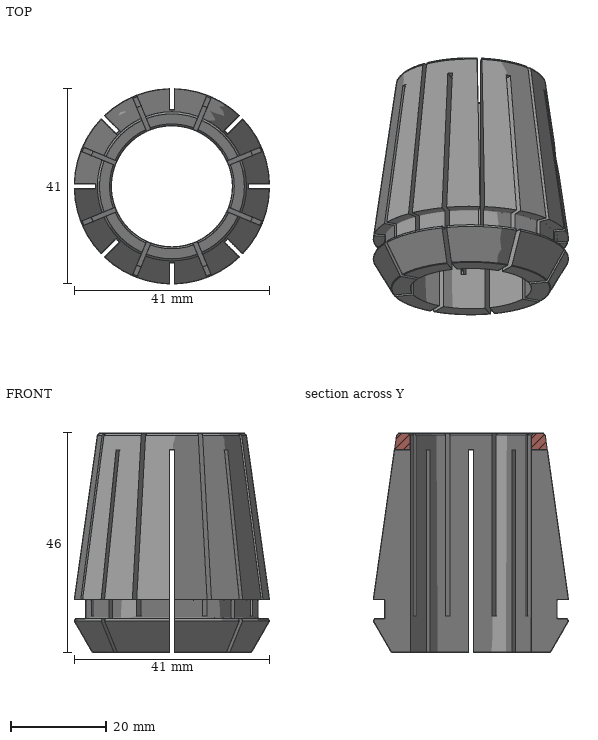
import cadquery as cq
import math

height = 46.0
max_radius = 20.5
bore_radius = 25.4 / 2

cone_half_angle = math.radians(8)
cone_base_z = 11.1
rim_chamfer = 0.45
bore_chamfer = 0.4

groove_radius = 18.12
groove_floor_z = 7.1
groove_fillet = 0.2
nose_half_angle = math.radians(30)
nose_edge_z = 6.6
nose_chamfer_width = 0.3
nose_end_chamfer = 0.12

slit_width = 1.0
slits_per_set = 8
lower_slit_top_z = 42.5
upper_slit_bottom_z = 7.6
slit_pitch = 360 / slits_per_set
blade_length = 3 * max_radius


def cone_radius(z):
    """Outer radius of the clamping cone at height z."""
    return max_radius - (z - cone_base_z) * math.tan(cone_half_angle)


def nose_radius(z):
    """Outer radius of the nose taper at height z."""
    return max_radius - (nose_edge_z - z) * math.tan(nose_half_angle)


def collet_body():
    """Unslit collet, revolved about Z from its half section."""
    rim_base_z = height - rim_chamfer
    rim_base_radius = cone_radius(rim_base_z)
    half_section = (
        cq.Workplane("XZ")
        .moveTo(bore_radius, 0)
        .lineTo(nose_radius(0) - nose_end_chamfer, 0)
        .lineTo(nose_radius(nose_end_chamfer), nose_end_chamfer)
        .lineTo(max_radius, nose_edge_z)
        .lineTo(max_radius - nose_chamfer_width, groove_floor_z)
        .lineTo(groove_radius + groove_fillet, groove_floor_z)
        .tangentArcPoint((groove_radius, groove_floor_z + groove_fillet), relative=False)
        .lineTo(groove_radius, cone_base_z - groove_fillet)
        .tangentArcPoint((groove_radius + groove_fillet, cone_base_z), relative=False)
        .lineTo(max_radius, cone_base_z)
        .lineTo(rim_base_radius, rim_base_z)
        .lineTo(rim_base_radius - rim_chamfer, height)
        .lineTo(bore_radius + bore_chamfer, height)
        .lineTo(bore_radius, height - bore_chamfer)
        .close()
    )
    return half_section.revolve(360, (0, 0), (0, 1))


def slit_set(bottom_z, top_z, start_angle):
    """Blades centred on the axis, evenly spaced about Z."""
    blade = (
        cq.Workplane("XY")
        .workplane(offset=bottom_z)
        .rect(blade_length, slit_width)
        .extrude(top_z - bottom_z)
    )
    blades = cq.Workplane("XY")
    for index in range(slits_per_set // 2):
        angle = start_angle + index * slit_pitch
        blades = blades.add(blade.rotate((0, 0, 0), (0, 0, 1), angle))
    return blades.combine()


lower_slits = slit_set(0, lower_slit_top_z, 0)
upper_slits = slit_set(upper_slit_bottom_z, height, slit_pitch / 2)

result = collet_body().cut(lower_slits).cut(upper_slits)